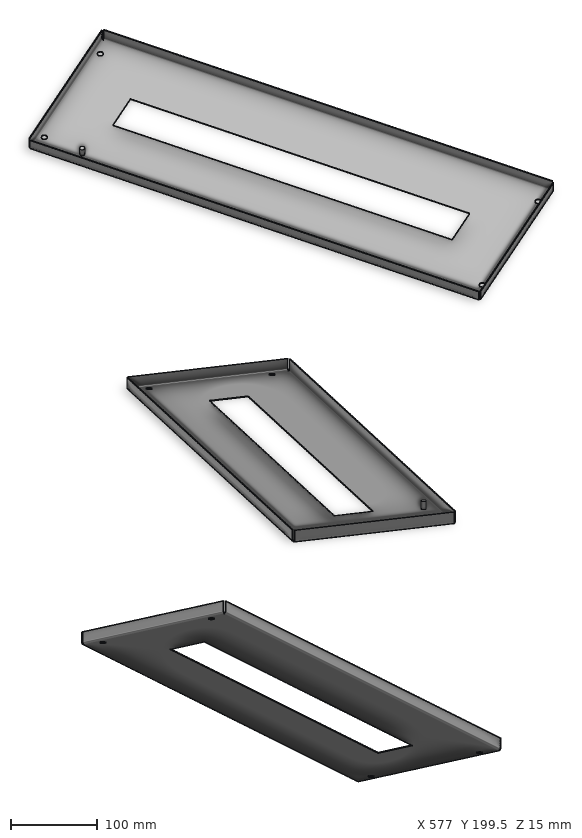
import cadquery as cq

LENGTH = 577.0
WIDTH = 199.5
HEIGHT = 15.0
SHEET = 1.2
BEND_RADIUS = 3.0
INNER_RADIUS = BEND_RADIUS - SHEET
FLANGE_SETBACK = 2.4

WINDOW_LENGTH = 433.0
WINDOW_WIDTH = 47.5
HOLE_DIAMETER = 7.0
HOLE_X = 279.0
HOLE_Y = 75.0

STUD_DIAMETER = 6.0
STUD_HEIGHT = 10.0
STUD_X = -228.0
STUD_Y = -81.5


def make_floor():
    """Flat cross-shaped sheet reaching the start of the bends on all four sides."""
    flat_length = LENGTH - 2 * BEND_RADIUS
    flat_width = WIDTH - 2 * BEND_RADIUS
    return cq.Workplane("XY").box(flat_length, flat_width, SHEET, centered=(True, True, False))


def make_flange(span, reach):
    """Bent flange facing +X, its outer face at x = reach, extending along Y."""
    bend_start = reach - BEND_RADIUS
    inner_face = reach - SHEET
    diagonal = 0.5 ** 0.5
    outer_mid = (bend_start + BEND_RADIUS * diagonal, BEND_RADIUS * (1 - diagonal))
    inner_mid = (bend_start + INNER_RADIUS * diagonal, BEND_RADIUS - INNER_RADIUS * diagonal)
    return (
        cq.Workplane("XZ")
        .moveTo(bend_start, 0)
        .threePointArc(outer_mid, (reach, BEND_RADIUS))
        .lineTo(reach, HEIGHT)
        .lineTo(inner_face, HEIGHT)
        .lineTo(inner_face, BEND_RADIUS)
        .threePointArc(inner_mid, (bend_start, SHEET))
        .close()
        .extrude(span / 2, both=True)
    )


def make_tray():
    """Folded sheet tray with open corners, a window and four mounting holes."""
    tray = make_floor()
    end_flange = make_flange(WIDTH - 2 * FLANGE_SETBACK, LENGTH / 2)
    side_flange = make_flange(LENGTH - 2 * FLANGE_SETBACK, WIDTH / 2)
    for angle in (0, 180):
        tray = tray.union(end_flange.rotate((0, 0, 0), (0, 0, 1), angle))
        tray = tray.union(side_flange.rotate((0, 0, 0), (0, 0, 1), angle + 90))

    window = cq.Workplane("XY").rect(WINDOW_LENGTH, WINDOW_WIDTH).extrude(SHEET)
    holes = (
        cq.Workplane("XY")
        .rect(2 * HOLE_X, 2 * HOLE_Y, forConstruction=True)
        .vertices()
        .circle(HOLE_DIAMETER / 2)
        .extrude(SHEET)
    )
    return tray.cut(window).cut(holes)


def make_stud():
    """Plain cylindrical stud resting on the tray floor."""
    return (
        cq.Workplane("XY", origin=(STUD_X, STUD_Y, SHEET))
        .circle(STUD_DIAMETER / 2)
        .extrude(STUD_HEIGHT)
    )


tray = make_tray()
stud = make_stud()

result = cq.Compound.makeCompound([tray.val(), stud.val()])